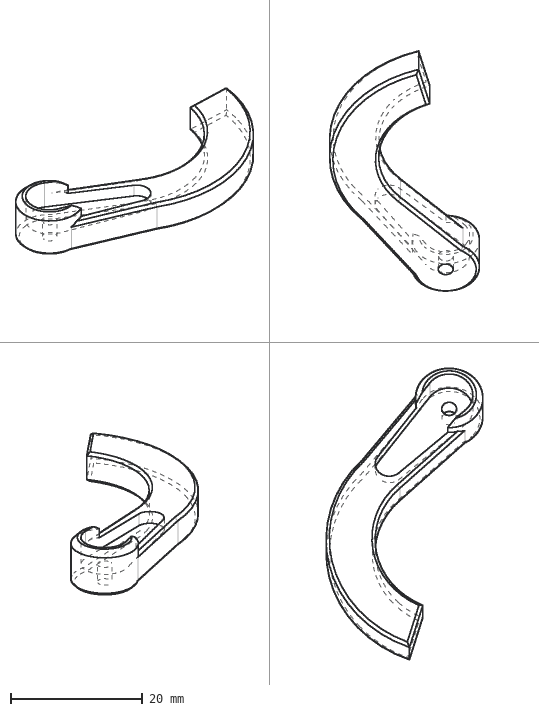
import cadquery as cq
import math

ARM_HEIGHT = 5.0
HUB_HEIGHT = 7.5
POCKET_DEPTH = 2.0

HUB_RADIUS = 5.15
HUB_CHAMFER = 1.0
PIN_HOLE_DIAMETER = 2.25

EDGE_CHAMFER = 0.5
ARM_WIDTH = 7.5
ARM_ROOT_WIDTH = 9.84
TAPER_END_Y = 16.0

BEND_OUTER_RADIUS = 20.0
BEND_INNER_RADIUS = BEND_OUTER_RADIUS - ARM_WIDTH
BEND_CENTER_X = ARM_WIDTH / 2 - BEND_OUTER_RADIUS
BEND_CENTER_Y = 17.0
BEND_MIDDLE_ANGLE = 45.0

TIP_OUTER_OFFSET = -6.66
TIP_INNER_OFFSET = -3.45

POCKET_LARGE_RADIUS = 3.6
POCKET_SMALL_RADIUS = 2.15
POCKET_LENGTH = 14.0


def bend_point_at_angle(radius, degrees):
    """Point of a bend circle in the given direction from the bend centre."""
    angle = math.radians(degrees)
    return (BEND_CENTER_X + radius * math.cos(angle), BEND_CENTER_Y + radius * math.sin(angle))


def bend_point_at_offset(radius, offset):
    """Point on the upper half of a bend circle at an X offset from the bend centre."""
    return (BEND_CENTER_X + offset, BEND_CENTER_Y + math.sqrt(radius**2 - offset**2))


def bend_point_at_taper(radius):
    """Point on the right half of a bend circle where the straight side ends."""
    rise = TAPER_END_Y - BEND_CENTER_Y
    return (BEND_CENTER_X + math.sqrt(radius**2 - rise**2), TAPER_END_Y)


def make_arm():
    outline = (
        cq.Workplane("XY")
        .moveTo(-ARM_ROOT_WIDTH / 2, 0)
        .lineTo(ARM_ROOT_WIDTH / 2, 0)
        .lineTo(*bend_point_at_taper(BEND_OUTER_RADIUS))
        .threePointArc(
            bend_point_at_angle(BEND_OUTER_RADIUS, BEND_MIDDLE_ANGLE),
            bend_point_at_offset(BEND_OUTER_RADIUS, TIP_OUTER_OFFSET),
        )
        .lineTo(*bend_point_at_offset(BEND_INNER_RADIUS, TIP_INNER_OFFSET))
        .threePointArc(
            bend_point_at_angle(BEND_INNER_RADIUS, BEND_MIDDLE_ANGLE),
            bend_point_at_taper(BEND_INNER_RADIUS),
        )
        .close()
    )
    return outline.extrude(ARM_HEIGHT).faces("<Z or >Z").chamfer(EDGE_CHAMFER)


def make_hub():
    hub = cq.Workplane("XY").circle(HUB_RADIUS).extrude(HUB_HEIGHT)
    hub = hub.faces(">Z").chamfer(HUB_CHAMFER)
    return hub.faces("<Z").chamfer(EDGE_CHAMFER)


def make_pocket():
    """Teardrop cutter, open upward through the top of the hub."""
    tangent_sine = (POCKET_LARGE_RADIUS - POCKET_SMALL_RADIUS) / POCKET_LENGTH
    tangent_cosine = math.sqrt(1 - tangent_sine**2)
    large_x = POCKET_LARGE_RADIUS * tangent_cosine
    large_y = POCKET_LARGE_RADIUS * tangent_sine
    small_x = POCKET_SMALL_RADIUS * tangent_cosine
    small_y = POCKET_LENGTH + POCKET_SMALL_RADIUS * tangent_sine
    floor_z = ARM_HEIGHT - POCKET_DEPTH
    return (
        cq.Workplane("XY", origin=(0, 0, floor_z))
        .moveTo(large_x, large_y)
        .lineTo(small_x, small_y)
        .threePointArc((0, POCKET_LENGTH + POCKET_SMALL_RADIUS), (-small_x, small_y))
        .lineTo(-large_x, large_y)
        .threePointArc((0, -POCKET_LARGE_RADIUS), (large_x, large_y))
        .close()
        .extrude(HUB_HEIGHT - floor_z)
    )


def make_pin_hole():
    return cq.Workplane("XY").circle(PIN_HOLE_DIAMETER / 2).extrude(HUB_HEIGHT)


result = make_arm().union(make_hub()).cut(make_pocket()).cut(make_pin_hole())